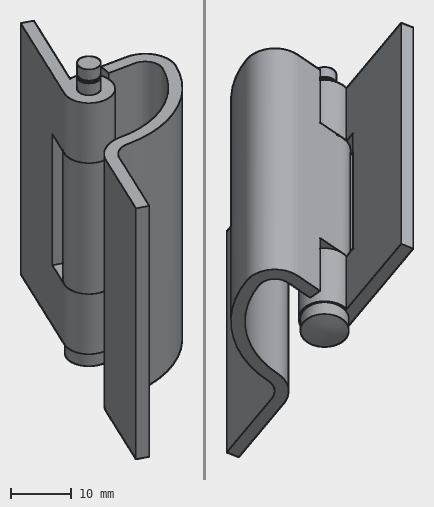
import cadquery as cq
import math

pin_radius = 2.0
sheet = 2.3
knuckle_radius = pin_radius + sheet
plate_front = -knuckle_radius
plate_back = plate_front + sheet

leaf_height = 49.7
knuckle_height = 25.9
leaf_bottom = -leaf_height / 2
knuckle_bottom = -knuckle_height / 2

flat_leaf_end = -22.0
window_edge = -6.0

total_width = 58.0
total_depth = 20.0
curved_leaf_end = flat_leaf_end + total_width
curved_leaf_back = plate_front + total_depth
strap_angle = math.radians(15)
curl_outer_radius = 5.35
curl_inner_radius = curl_outer_radius - sheet
bend_inner_radius = 3.55
bend_outer_radius = bend_inner_radius + sheet
bend_x = 21.0
strap_end = 5.3

pin_top_length = 5.1
groove_depth = 0.35
groove_width = 0.6
groove_to_tip = 2.2
head_radius = 4.0
head_height = 2.6
head_dome = 0.6


def cylinder(radius, height, bottom):
    return cq.Workplane("XY").workplane(offset=bottom).circle(radius).extrude(height)


def polar(center, radius, angle):
    """Point at a radius and angle (radians) from a center."""
    return (center[0] + radius * math.cos(angle), center[1] + radius * math.sin(angle))


def make_flat_leaf():
    """Flat plate with a knuckle at each end and a window for the middle knuckle."""
    plate = (
        cq.Workplane("XY").workplane(offset=leaf_bottom)
        .moveTo(flat_leaf_end, plate_front)
        .lineTo(0, plate_front)
        .lineTo(0, plate_back)
        .lineTo(flat_leaf_end, plate_back)
        .close()
        .extrude(leaf_height)
    )
    leaf = plate.union(cylinder(knuckle_radius, leaf_height, leaf_bottom))
    window_width = knuckle_radius - window_edge
    window = cq.Workplane("XY").box(window_width, 2 * knuckle_radius, knuckle_height)
    window = window.translate((window_edge + window_width / 2, 0, 0))
    return leaf.cut(window).cut(cylinder(pin_radius, leaf_height, leaf_bottom))


def strap_point(along, outward):
    """Point given along the strap and outward from the pin axis, square to the strap."""
    sine = math.sin(strap_angle)
    cosine = math.cos(strap_angle)
    return (-along * sine - outward * cosine, along * cosine - outward * sine)


def curved_sheet(start, height):
    """Bent sheet from the strap, around the curl and sweep, to the flat flange."""
    curl_y = curved_leaf_back - curl_outer_radius
    curl_offset = knuckle_radius - curl_outer_radius
    curl_x = -(curl_offset + curl_y * math.sin(strap_angle)) / math.cos(strap_angle)
    curl = (curl_x, curl_y)
    curl_start = math.pi + strap_angle
    curl_end = math.pi / 2
    curl_middle = (curl_start + curl_end) / 2

    bend = (bend_x, plate_front + bend_outer_radius)
    run = bend_x - curl_x
    rise = curved_leaf_back - bend[1]
    sweep_radius = (run**2 + rise**2 - bend_inner_radius**2) / (2 * (rise + bend_inner_radius))
    sweep_inner_radius = sweep_radius - sheet
    sweep = (curl_x, curved_leaf_back - sweep_radius)
    sweep_end = math.atan2(bend[1] - sweep[1], run)
    sweep_middle = (math.pi / 2 + sweep_end) / 2
    bend_start = math.pi + sweep_end
    bend_end = 3 * math.pi / 2
    bend_middle = (bend_start + bend_end) / 2

    return (
        cq.Workplane("XY").workplane(offset=-height / 2)
        .moveTo(*strap_point(start, knuckle_radius))
        .lineTo(*polar(curl, curl_outer_radius, curl_start))
        .threePointArc(polar(curl, curl_outer_radius, curl_middle), polar(curl, curl_outer_radius, curl_end))
        .threePointArc(polar(sweep, sweep_radius, sweep_middle), polar(sweep, sweep_radius, sweep_end))
        .threePointArc(polar(bend, bend_inner_radius, bend_middle), polar(bend, bend_inner_radius, bend_end))
        .lineTo(curved_leaf_end, plate_back)
        .lineTo(curved_leaf_end, plate_front)
        .lineTo(bend_x, plate_front)
        .threePointArc(polar(bend, bend_outer_radius, bend_middle), polar(bend, bend_outer_radius, bend_start))
        .threePointArc(
            polar(sweep, sweep_inner_radius, sweep_middle),
            polar(sweep, sweep_inner_radius, curl_end),
        )
        .threePointArc(polar(curl, curl_inner_radius, curl_middle), polar(curl, curl_inner_radius, curl_start))
        .lineTo(*strap_point(start, pin_radius))
        .close()
        .extrude(height)
    )


def make_curved_leaf():
    """Full-height bent sheet whose strap reaches the pin only at the middle knuckle."""
    leaf = curved_sheet(strap_end, leaf_height).union(curved_sheet(0, knuckle_height))
    leaf = leaf.union(cylinder(knuckle_radius, knuckle_height, knuckle_bottom))
    return leaf.cut(cylinder(pin_radius, knuckle_height, knuckle_bottom))


def make_pin():
    """Headed pin with a domed head below and a retaining groove near its top."""
    pin_top = -leaf_bottom + pin_top_length
    groove_top = pin_top - groove_to_tip
    groove_bottom = groove_top - groove_width
    groove_radius = pin_radius - groove_depth
    head_edge = leaf_bottom - head_height
    dome_bottom = head_edge - head_dome
    dome_radius = (head_radius**2 + head_dome**2) / (2 * head_dome)
    dome_middle_x = head_radius / 2
    dome_middle_z = dome_bottom + dome_radius - math.sqrt(dome_radius**2 - dome_middle_x**2)
    return (
        cq.Workplane("XZ")
        .moveTo(0, dome_bottom)
        .threePointArc((dome_middle_x, dome_middle_z), (head_radius, head_edge))
        .lineTo(head_radius, leaf_bottom)
        .lineTo(pin_radius, leaf_bottom)
        .lineTo(pin_radius, groove_bottom)
        .lineTo(groove_radius, groove_bottom)
        .lineTo(groove_radius, groove_top)
        .lineTo(pin_radius, groove_top)
        .lineTo(pin_radius, pin_top)
        .lineTo(0, pin_top)
        .close()
        .revolve(360, (0, 0, 0), (0, 1, 0))
    )


flat_leaf = make_flat_leaf()
curved_leaf = make_curved_leaf()
pin = make_pin()

result = cq.Compound.makeCompound([flat_leaf.val(), curved_leaf.val(), pin.val()])